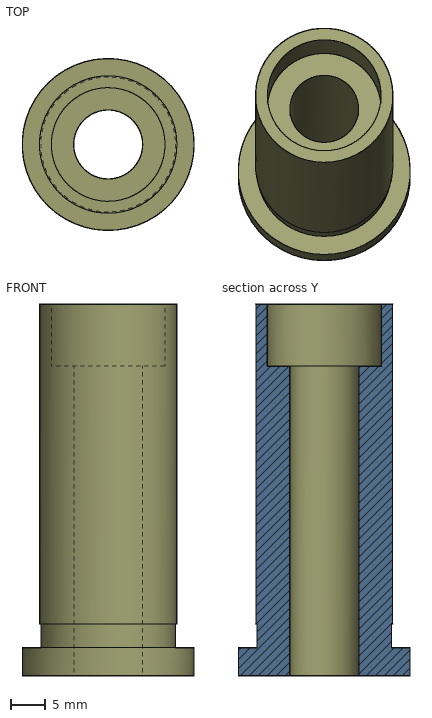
import cadquery as cq

total_height = 54.0
flange_height = 4.1
neck_height = 3.4
counterbore_depth = 9.0

flange_diameter = 25.0
neck_diameter = 19.6
sleeve_diameter = 20.0
counterbore_diameter = 16.5
bore_diameter = 10.0

neck_top = flange_height + neck_height
sleeve_height = total_height - neck_top


def cylinder(diameter, height, base_z):
    """Vertical cylinder on the Z axis, standing on base_z."""
    return cq.Workplane("XY", origin=(0, 0, base_z)).circle(diameter / 2).extrude(height)


flange = cylinder(flange_diameter, flange_height, 0)
neck = cylinder(neck_diameter, neck_height, flange_height)
sleeve = cylinder(sleeve_diameter, sleeve_height, neck_top)

bore = cylinder(bore_diameter, total_height, 0)
counterbore = cylinder(counterbore_diameter, counterbore_depth, total_height - counterbore_depth)

result = flange.union(neck).union(sleeve).cut(bore).cut(counterbore)